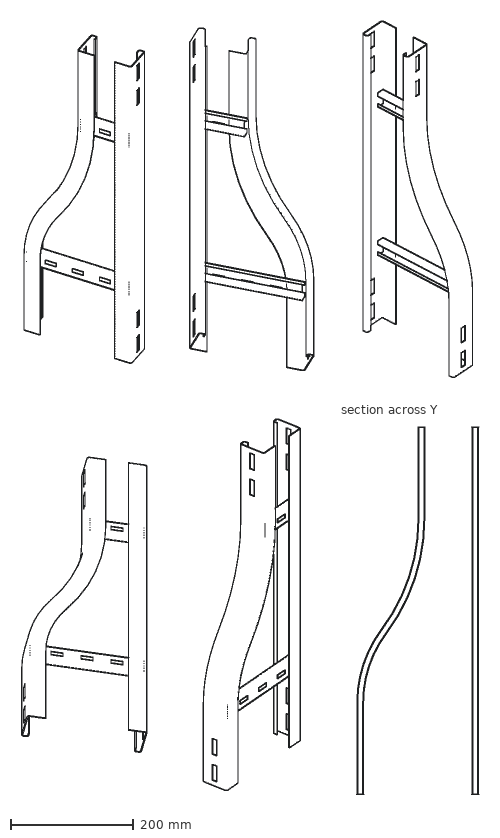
import cadquery as cq
import math

WIDTH = 200
DEPTH = 50
LENGTH = 600

RAIL_SHEET = 2
RAIL_INNER_BEND = 2
WIDE_FLANGE = 31
NARROW_FLANGE = 12
RAIL_LIP = 9

END_LENGTH = 150
SIDE_SHIFT = 100
LOWER_RADIUS = 200

RAIL_SLOT_LENGTH = 30
RAIL_SLOT_WIDTH = 9
RAIL_SLOT_CENTRES = (25, 75)

RUNG_SHEET = 1.5
RUNG_INNER_BEND = 0.5
RUNG_HEIGHT = 30
RUNG_DEPTH = 15
RUNG_LIP = 7.5
RUNG_INSET = 5
RUNG_SLOT_LENGTH = 20
RUNG_SLOT_WIDTH = 7
RUNG_SLOT_PITCH = 50
LOWER_RUNG_SLOTS = 3
UPPER_RUNG_SLOTS = 1

CURVED_LENGTH = LENGTH - 2 * END_LENGTH
BEND_ANGLE = 2 * math.atan(SIDE_SHIFT / CURVED_LENGTH)
UPPER_RADIUS = CURVED_LENGTH / math.sin(BEND_ANGLE) - LOWER_RADIUS


def folded_section(plane, corners, sheet, inner_bend):
    """Section of a sheet folded at right angles, always turning clockwise.

    The corners are the sharp corners of the outer surface, from one sheet edge to the other.
    """
    outer_bend = inner_bend + sheet
    points = [cq.Vector(x, y) for x, y in corners]
    runs = [(end - start).normalized() for start, end in zip(points, points[1:])]
    steps = [cq.Vector(run.y, -run.x) * sheet for run in runs]

    bend_starts = [point - run * outer_bend for point, run in zip(points[1:-1], runs)]
    bend_ends = [point + run * outer_bend for point, run in zip(points[1:-1], runs[1:])]

    outline = plane.moveTo(points[0].x, points[0].y)
    for start, end in zip(bend_starts, bend_ends):
        outline = outline.lineTo(start.x, start.y).radiusArc((end.x, end.y), outer_bend)
    inner_edge = points[-1] + steps[-1]
    outline = outline.lineTo(points[-1].x, points[-1].y).lineTo(inner_edge.x, inner_edge.y)

    for i in reversed(range(len(bend_starts))):
        end = bend_ends[i] + steps[i + 1]
        start = bend_starts[i] + steps[i]
        outline = outline.lineTo(end.x, end.y).radiusArc((start.x, start.y), -inner_bend)
    first_edge = points[0] + steps[0]
    return outline.lineTo(first_edge.x, first_edge.y).close()


def rail_section():
    """Rail section in the XY plane, with the outer face of the web on x = 0."""
    corners = [
        (WIDE_FLANGE, 0),
        (0, 0),
        (0, DEPTH),
        (NARROW_FLANGE, DEPTH),
        (NARROW_FLANGE, DEPTH - RAIL_LIP),
    ]
    return folded_section(cq.Workplane("XY"), corners, RAIL_SHEET, RAIL_INNER_BEND)


def offset_path():
    """Line of the offset rail's outer web face: straight, two opposite bends, straight."""

    def lower_bend(angle):
        x = LOWER_RADIUS * (1 - math.cos(angle))
        z = END_LENGTH + LOWER_RADIUS * math.sin(angle)
        return x, z

    def upper_bend(angle):
        x = SIDE_SHIFT - UPPER_RADIUS * (1 - math.cos(angle))
        z = LENGTH - END_LENGTH - UPPER_RADIUS * math.sin(angle)
        return x, z

    return (
        cq.Workplane("XZ")
        .lineTo(0, END_LENGTH)
        .threePointArc(lower_bend(BEND_ANGLE / 2), lower_bend(BEND_ANGLE))
        .threePointArc(upper_bend(BEND_ANGLE / 2), upper_bend(0))
        .lineTo(SIDE_SHIFT, LENGTH)
    )


def rail_slots():
    """Cutters for the slots near both rail ends, long enough in X to pass through either rail."""
    centres = [(DEPTH / 2, z) for z in RAIL_SLOT_CENTRES]
    centres += [(DEPTH / 2, LENGTH - z) for z in RAIL_SLOT_CENTRES]
    return (
        cq.Workplane("YZ")
        .pushPoints(centres)
        .rect(RAIL_SLOT_WIDTH, RAIL_SLOT_LENGTH)
        .extrude(WIDTH)
    )


def make_offset_rail():
    return rail_section().sweep(offset_path()).cut(rail_slots())


def make_straight_rail():
    """Straight rail with its web on x = WIDTH, opening towards the offset rail."""
    rail = rail_section().extrude(LENGTH).mirror("YZ").translate((WIDTH, 0, 0))
    return rail.cut(rail_slots())


def make_rung(web_x, centre_z, slot_count):
    """Rung seated on the wide flanges, from the offset rail web at web_x to the straight rail."""
    start = web_x + RUNG_INSET
    end = WIDTH - RUNG_INSET
    half = RUNG_HEIGHT / 2
    lip_end = half - RUNG_LIP
    corners = [
        (RUNG_DEPTH, -lip_end),
        (RUNG_DEPTH, -half),
        (0, -half),
        (0, half),
        (RUNG_DEPTH, half),
        (RUNG_DEPTH, lip_end),
    ]
    plane = cq.Workplane("YZ", origin=(start, RAIL_SHEET, centre_z))
    channel = folded_section(plane, corners, RUNG_SHEET, RUNG_INNER_BEND).extrude(end - start)
    slots = (
        cq.Workplane("XZ", origin=((start + end) / 2, 0, centre_z))
        .rarray(RUNG_SLOT_PITCH, 1, slot_count, 1)
        .rect(RUNG_SLOT_LENGTH, RUNG_SLOT_WIDTH)
        .extrude(-DEPTH)
    )
    return channel.cut(slots)


offset_rail = make_offset_rail()
straight_rail = make_straight_rail()

rung_layout = [
    (0, END_LENGTH, LOWER_RUNG_SLOTS),
    (SIDE_SHIFT, LENGTH - END_LENGTH, UPPER_RUNG_SLOTS),
]
rungs = [make_rung(web_x, centre_z, slots) for web_x, centre_z, slots in rung_layout]

result = cq.Compound.makeCompound(
    [offset_rail.val(), straight_rail.val(), *[rung.val() for rung in rungs]]
)